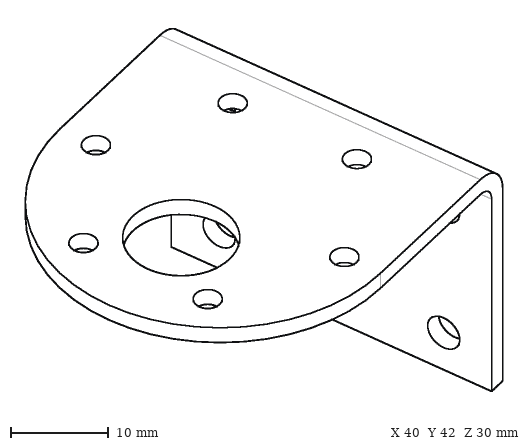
import cadquery as cq

width = 40.0
depth = 42.0
height = 30.0
thickness = 2.0
inner_bend_radius = 2.0
outer_bend_radius = inner_bend_radius + thickness

nose_radius = width / 2
ring_radius = 15.5
ring_hole_count = 6
ring_hole_diameter = 3.0
bore_diameter = 12.0
bore_offset = 7.0

mount_hole_diameter = 4.0
mount_spacing_x = 28.0
mount_spacing_z = 17.0
mount_bottom_margin = 5.0

back_y = depth - nose_radius
mount_centre_z = mount_bottom_margin + mount_spacing_z / 2


def bent_sheet():
    """L-shaped sheet with concentric bend radii."""
    outer = cq.Workplane("XY").box(width, depth, height, centered=(True, False, False))
    outer = outer.translate((0, -nose_radius, 0))
    outer = outer.edges("|X and >Y and >Z").fillet(outer_bend_radius)
    inner = cq.Workplane("XY").box(
        width, depth - thickness, height - thickness, centered=(True, False, False)
    )
    inner = inner.translate((0, -nose_radius, 0))
    inner = inner.edges("|X and >Y and >Z").fillet(inner_bend_radius)
    return outer.cut(inner)


def nose_envelope():
    """Plan outline: straight sides closed by a semicircular nose."""
    return (
        cq.Workplane("XY")
        .moveTo(-nose_radius, back_y)
        .lineTo(-nose_radius, 0)
        .threePointArc((0, -nose_radius), (nose_radius, 0))
        .lineTo(nose_radius, back_y)
        .close()
        .extrude(height)
    )


def plate_holes():
    """Ring holes and the offset bore, cutting only the horizontal plate."""
    plate = cq.Workplane("XY").workplane(offset=height - thickness)
    ring = (
        plate.polarArray(ring_radius, 0, 360, ring_hole_count)
        .circle(ring_hole_diameter / 2)
        .extrude(thickness)
    )
    bore = plate.center(0, -bore_offset).circle(bore_diameter / 2).extrude(thickness)
    return ring.union(bore)


def flange_holes():
    """Rectangular pattern of mounting holes through the vertical flange."""
    return (
        cq.Workplane("XZ", origin=(0, back_y, mount_centre_z))
        .rarray(mount_spacing_x, mount_spacing_z, 2, 2)
        .circle(mount_hole_diameter / 2)
        .extrude(thickness)
    )


result = bent_sheet().intersect(nose_envelope()).cut(plate_holes()).cut(flange_holes())